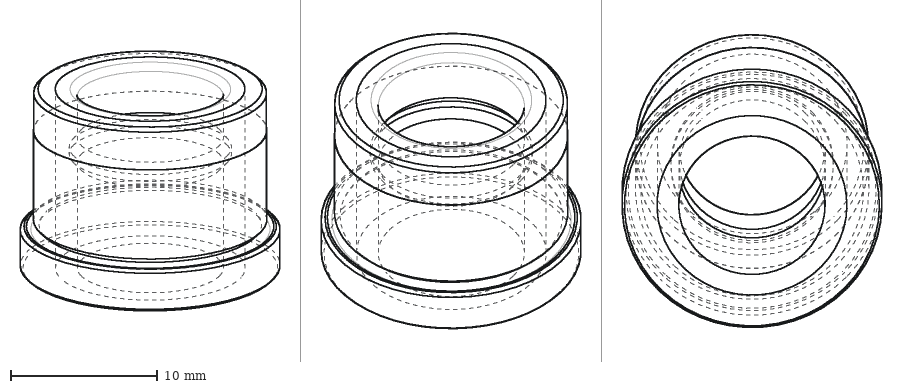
import cadquery as cq

flange_radius = 8.9
total_height = 13.0
flange_height = 3.0

shank_radius = 8.0
lead_in_radius = 7.97
lead_in_length = 3.0
shank_chamfer_width = 0.3
shank_chamfer_height = 0.27
flange_top_chamfer_width = 0.27
flange_top_chamfer_height = 0.21
flange_bottom_chamfer = 0.18

relief_top_z = 3.5
relief_wall_drop = 0.37
relief_arc_radius = 7.8
relief_arc_z = 2.85
relief_floor_radius = 8.19
relief_floor_z = 2.83
relief_outer_radius = 8.47

liner_radius = 6.5
bore_radius = 5.0
bore_fillet = 0.5

groove_depth = 0.55
groove_top_z = total_height - 3.5
groove_upper_taper = 0.7
groove_land = 0.5
groove_lower_taper = 0.6


def revolve_profile(profile):
    """Revolve a closed radius-height profile around the Z axis."""
    return profile.close().revolve(360, (0, 0, 0), (0, 1, 0))


def make_housing():
    """Flanged sleeve with a relief groove and a plain bore for the liner."""
    lead_in_z = total_height - lead_in_length
    profile = (
        cq.Workplane("XZ")
        .moveTo(liner_radius, 0)
        .lineTo(flange_radius - flange_bottom_chamfer, 0)
        .lineTo(flange_radius, flange_bottom_chamfer)
        .lineTo(flange_radius, flange_height - flange_top_chamfer_height)
        .lineTo(flange_radius - flange_top_chamfer_width, flange_height)
        .lineTo(relief_outer_radius, flange_height)
        .lineTo(relief_floor_radius, relief_floor_z)
        .threePointArc(
            (relief_arc_radius, relief_arc_z),
            (shank_radius - relief_wall_drop, relief_top_z - relief_wall_drop),
        )
        .lineTo(shank_radius, relief_top_z)
        .lineTo(shank_radius, lead_in_z)
        .lineTo(lead_in_radius, lead_in_z)
        .lineTo(lead_in_radius, total_height - shank_chamfer_height)
        .lineTo(lead_in_radius - shank_chamfer_width, total_height)
        .lineTo(liner_radius, total_height)
    )
    return revolve_profile(profile)


def make_liner_blank():
    """Plain tube that fills the housing bore."""
    return cq.Workplane("XY").circle(liner_radius).circle(bore_radius).extrude(total_height)


def make_bore_groove():
    """Ring cutter with tapered upper and lower sides."""
    groove_radius = bore_radius + groove_depth
    land_top_z = groove_top_z - groove_upper_taper
    land_bottom_z = land_top_z - groove_land
    profile = (
        cq.Workplane("XZ")
        .moveTo(bore_radius, groove_top_z)
        .lineTo(groove_radius, land_top_z)
        .lineTo(groove_radius, land_bottom_z)
        .lineTo(bore_radius, land_bottom_z - groove_lower_taper)
    )
    return revolve_profile(profile)


def make_liner():
    """Tube with a rounded bore entry and an internal groove."""
    bore_entry = cq.selectors.RadiusNthSelector(0)
    rounded = make_liner_blank().faces(">Z").edges(bore_entry).fillet(bore_fillet)
    return rounded.cut(make_bore_groove())


housing = make_housing()
liner = make_liner()

result = cq.Compound.makeCompound([housing.val(), liner.val()])